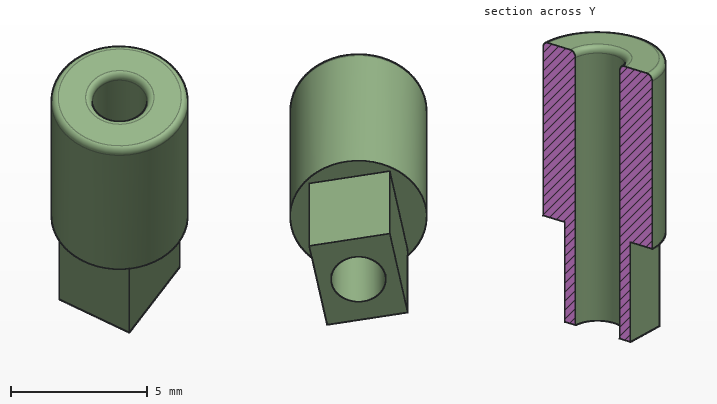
import cadquery as cq

body_diameter = 5.0
body_height = 7.0
shank_width_x = 3.0
shank_width_y = 3.58
shank_height = 4.0
bore_diameter = 2.0
rim_radius = 0.25

total_height = shank_height + body_height


def make_shank():
    """Rectangular shank standing on the XY plane."""
    return cq.Workplane("XY").rect(shank_width_x, shank_width_y).extrude(shank_height)


def make_body():
    """Round body on top of the shank."""
    return cq.Workplane("XY").workplane(offset=shank_height).circle(body_diameter / 2).extrude(body_height)


def make_bore():
    """Bore running through the full height."""
    return cq.Workplane("XY").circle(bore_diameter / 2).extrude(total_height)


def round_top_rims(part):
    """Round the outer rim and the bore mouth on the top face."""
    return part.faces(">Z").edges().fillet(rim_radius)


result = round_top_rims(make_shank().union(make_body()).cut(make_bore()))